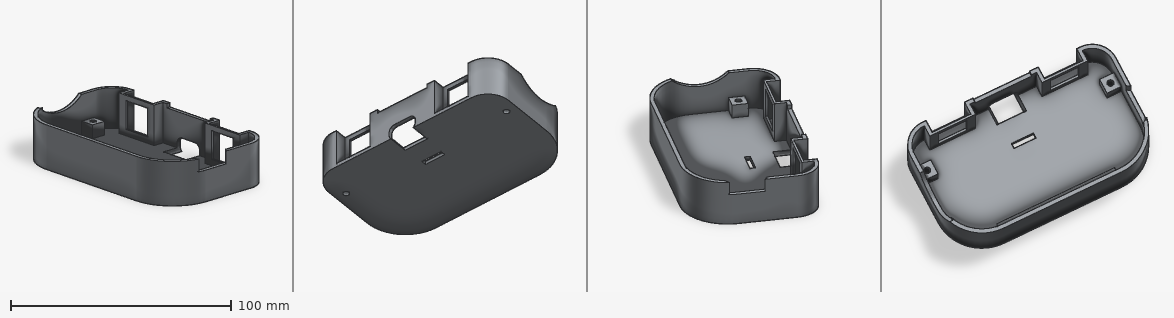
import cadquery as cq

LENGTH = 104.4
DEPTH = 62.0
HEIGHT = 21.4
FRONT_RADIUS = 22.2
REAR_RADIUS = 12.0
WALL = 2.0
FLOOR = 2.0
REAR_Y = DEPTH / 2
INNER_REAR_Y = REAR_Y - WALL
INNER_FRONT_Y = -DEPTH / 2 + WALL
INNER_HALF_LENGTH = LENGTH / 2 - WALL

BAY_CENTER_X = 28.5
BAY_WIDTH = 23.3
BAY_SIDE_WALL = 1.9
BAY_INNER_Y = 23.5
BAY_FACE_WALL = 1.1
WINDOW_WIDTH = 14.4
WINDOW_BOTTOM = 5.0
WINDOW_HEIGHT = 13.8

POST_INSET = 7.3
POST_WIDTH = 7.5
POST_Y = 13.4
POST_TOP = 8.6
SCREW_X = 46.6
SCREW_DIAMETER = 3.0

LEDGE_DEPTH = 5.2
LEDGE_TOP = POST_TOP

RIM_STEP_WIDTH = 28.7
RIM_STEP_DEPTH = 2.0

PORT_WIDTH = 15.0
PORT_TOP = 7.4
PORT_BOTTOM = -0.7
PORT_RADIUS = 3.1
PORT_INNER_Y = 20.7

SLOT_LENGTH = 11.1
SLOT_WIDTH = 2.6
SLOT_Y = 8.4

SCOOP_RADIUS = 19.4
SCOOP_DEPTH = 5.4
SCOOP_Y = -3.8
SCOOP_LENGTH = 3.2

NOTCH_RADIUS = 10.9
NOTCH_X = 44.9
NOTCH_Y = -4.4
NOTCH_DEPTH = 6.2


def block(x_range, y_range, z_range):
    """Box spanning the given X, Y and Z ranges."""
    size = [high - low for low, high in (x_range, y_range, z_range)]
    corner = (x_range[0], y_range[0], z_range[0])
    return cq.Workplane("XY").box(*size, centered=False).translate(corner)


def rounded_body(inset, bottom):
    """Tray outline moved inward by inset, from bottom up to the rim."""
    body = (
        cq.Workplane("XY", origin=(0, 0, bottom))
        .rect(LENGTH - 2 * inset, DEPTH - 2 * inset)
        .extrude(HEIGHT - bottom)
    )
    body = body.edges("|Z and <Y").fillet(FRONT_RADIUS - inset)
    return body.edges("|Z and >Y").fillet(REAR_RADIUS - inset)


def centered_range(center, width):
    return (center - width / 2, center + width / 2)


def add_bay(body, center_x):
    """Box the bay in, hollow it from the rear and cut its window."""
    outer_x = centered_range(center_x, BAY_WIDTH)
    pocket_x = centered_range(center_x, BAY_WIDTH - 2 * BAY_SIDE_WALL)
    window_x = centered_range(center_x, WINDOW_WIDTH)
    pocket_y = BAY_INNER_Y + BAY_FACE_WALL
    shell = block(outer_x, (BAY_INNER_Y, REAR_Y - WALL / 2), (0, HEIGHT))
    pocket = block(pocket_x, (pocket_y, REAR_Y), (FLOOR, HEIGHT))
    window = block(window_x, (BAY_INNER_Y, pocket_y), (WINDOW_BOTTOM, WINDOW_BOTTOM + WINDOW_HEIGHT))
    return body.union(shell).cut(pocket).cut(window)


def add_post(body, side):
    """Screw post on the end wall; side is -1 or 1."""
    post_x = side * (INNER_HALF_LENGTH - POST_INSET / 2)
    center_x = post_x + side * WALL / 4
    post = block(
        centered_range(center_x, POST_INSET + WALL / 2),
        centered_range(POST_Y, POST_WIDTH),
        (0, POST_TOP),
    )
    hole = cq.Workplane("XY").center(side * SCREW_X, POST_Y).circle(SCREW_DIAMETER / 2).extrude(POST_TOP)
    return body.union(post).cut(hole)


def front_ledge():
    straight_length = LENGTH - 2 * FRONT_RADIUS
    return block(
        centered_range(0, straight_length),
        (INNER_FRONT_Y - WALL / 2, INNER_FRONT_Y + LEDGE_DEPTH),
        (0, LEDGE_TOP),
    )


def connector_port():
    port = block(centered_range(0, PORT_WIDTH), (PORT_INNER_Y, REAR_Y), (PORT_BOTTOM, PORT_TOP))
    return port.edges("|Y").fillet(PORT_RADIUS)


def rim_scoop():
    """Short cylinder along X; it ends just inside the -X wall, leaving a small step at the front corner."""
    center_z = HEIGHT - SCOOP_DEPTH + SCOOP_RADIUS
    cylinder = cq.Workplane("YZ", origin=(-LENGTH / 2, 0, 0)).center(SCOOP_Y, center_z).circle(SCOOP_RADIUS)
    return cylinder.extrude(SCOOP_LENGTH)


def end_notch():
    notch = cq.Workplane("XY", origin=(NOTCH_X, NOTCH_Y, HEIGHT - NOTCH_DEPTH))
    return notch.circle(NOTCH_RADIUS).extrude(NOTCH_DEPTH)


tray = rounded_body(0, 0).cut(rounded_body(WALL, FLOOR))
for side in (-1, 1):
    tray = add_bay(tray, side * BAY_CENTER_X)
    tray = add_post(tray, side)
tray = tray.union(front_ledge())

rim_step = block(
    centered_range(0, RIM_STEP_WIDTH),
    (INNER_REAR_Y, REAR_Y),
    (HEIGHT - RIM_STEP_DEPTH, HEIGHT),
)
floor_slot = block(centered_range(0, SLOT_LENGTH), centered_range(SLOT_Y, SLOT_WIDTH), (0, FLOOR))
for cutter in (rim_step, connector_port(), floor_slot, rim_scoop(), end_notch()):
    tray = tray.cut(cutter)

result = tray